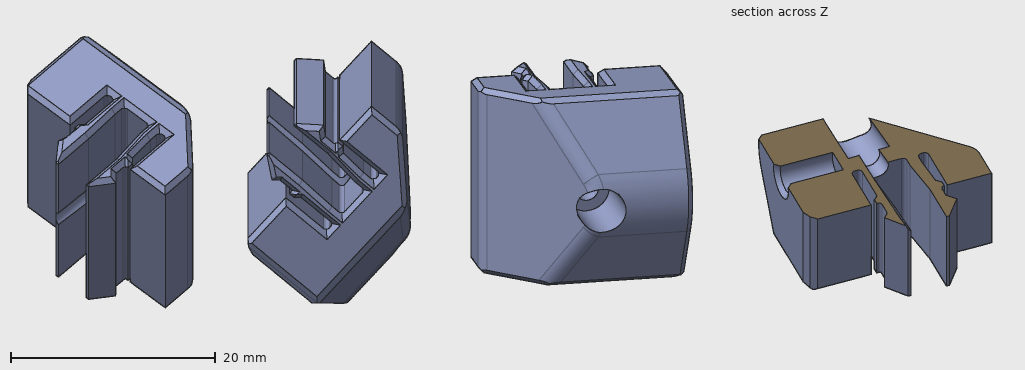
import cadquery as cq
import math


width = 19.3
top_z = 10.0
bottom_z = -9.0
back_y = 13.68
height = top_z - bottom_z
bevel = 0.5

ridge_radius = 6.4
roof_angle = math.radians(60)
ridge_y = back_y - ridge_radius

slant_start_y = 4.0
slant_fillet = 2.0
slant_end_x = width - (back_y - slant_start_y)

facet_mid_x = 0.39
facet_end_x = 0.96
front_facet_start_y = 1.45
front_facet_mid_y = 0.58
bottom_facet_mid_rise = 0.3

slot_width = 1.0
clip_thickness = 1.3
clip_gap = 3.4
slot_depth = 5.29
slot_fillet = 0.4
slots_left_x = 6.6
left_clip_x = slots_left_x + slot_width
gap_left_x = left_clip_x + clip_thickness
gap_right_x = gap_left_x + clip_gap
right_clip_x = gap_right_x + clip_thickness
slots_right_x = right_clip_x + slot_width

bend_y = 4.0
bump_y = 0.64
barb_y = -2.22
tip_y = -4.35
tip_thickness = 0.33
bump_fillet = 0.3
left_inner_x = 9.07
left_neck_x = 7.6
left_bump_x = 7.16
left_bump_start_y = 1.08
left_barb_x = 7.08
left_barb_start_y = -1.62
right_inner_x = 12.78
right_neck_x = 13.95
right_bump_x = 14.32
right_bump_start = (13.82, 1.15)
right_barb_x = 14.75
right_barb_start_y = -1.3

side_hole_diameter = 2.9
side_hole_depth = 5.98
screw_diameter = 2.3
screw_head_diameter = 4.5
screw_x = 9.28
screw_head_floor_y = 7.33
screw_lean_x = 0.04
screw_lean_z = 0.07

clear = 0.2
far = 2 * width


def roof_y(z):
    """Y of the flat roof planes at height z."""
    return ridge_y + (ridge_radius - abs(z) * math.cos(roof_angle)) / math.sin(roof_angle)


def gable(eave_bevel=0):
    """Side profile extruded along the full width, with optional equal-leg bevels at both eaves."""
    leg_y = eave_bevel * math.cos(roof_angle)
    leg_z = eave_bevel * math.sin(roof_angle)
    tangent_y = ridge_y + ridge_radius * math.sin(roof_angle)
    tangent_z = ridge_radius * math.cos(roof_angle)
    profile = cq.Workplane("YZ").moveTo(tip_y, bottom_z)
    profile = profile.lineTo(roof_y(bottom_z) - eave_bevel, bottom_z)
    if eave_bevel:
        profile = profile.lineTo(roof_y(bottom_z) + leg_y, bottom_z + leg_z)
    profile = profile.lineTo(tangent_y, -tangent_z)
    profile = profile.threePointArc((back_y, 0), (tangent_y, tangent_z))
    if eave_bevel:
        profile = profile.lineTo(roof_y(top_z) + leg_y, top_z - leg_z)
    profile = profile.lineTo(roof_y(top_z) - eave_bevel, top_z)
    return profile.lineTo(tip_y, top_z).close().extrude(width)


def upright_prism(outline):
    """Full-height prism over an outline in plan."""
    return cq.Workplane("XY", origin=(0, 0, bottom_z)).polyline(outline).close().extrude(height)


def slanted_gable():
    """Gable cut by the slanted face, whose roof, ridge and right-hand edges are rounded."""
    corner = [(width, slant_start_y), (width, back_y), (slant_end_x, back_y)]
    solid = gable().cut(upright_prism(corner))
    toward_corner = cq.Vector(1, 1, 0).normalized()
    slant = max(solid.faces().vals(), key=lambda face: face.normalAt().dot(toward_corner))
    edges = [edge for edge in slant.Edges() if bottom_z + bevel < edge.Center().z < top_z - bevel]
    return solid.newObject(edges).fillet(slant_fillet)


def left_bevelled_gable():
    """Gable with the back and top edges of its left face bevelled."""
    solid = gable()
    left_edges = solid.faces("<X").edges().vals()
    edges = [edge for edge in left_edges if edge.Center().y > tip_y and edge.Center().z > bottom_z]
    return solid.newObject(edges).chamfer(bevel)


def round_corners(solid, corners, radius):
    """Round the upright edges at the given plan positions."""
    for x, y in corners:
        near = cq.selectors.BoxSelector((x - 0.02, y - 0.02, -far), (x + 0.02, y + 0.02, far))
        solid = solid.edges("|Z").edges(near).fillet(radius)
    return solid


def edge_bevel(before, start, end, after, face_z, inward):
    """Wedge that bevels the edge from start to end of the face at face_z.

    The material lies to the left of the edge and inward is its direction along Z.
    The wedge is mitred where it meets its neighbour in a hollow corner and square elsewhere.
    """
    points = [cq.Vector(x, y, face_z) for x, y in (before, start, end, after)]
    directions = [(b - a).normalized() for a, b in zip(points, points[1:])]
    along = directions[1]
    normal = cq.Vector(-along.y, along.x, 0)

    def mitre_slope(first, second):
        turn = math.atan2(first.cross(second).z, first.dot(second))
        return max(0, math.tan(-turn / 2))

    def section(point, slope):
        into_part = normal + along * slope
        return cq.Wire.makePolygon(
            [
                point + into_part * bevel,
                point - into_part * clear,
                point - into_part * clear + cq.Vector(0, 0, inward * (bevel + clear)),
            ],
            close=True,
        )

    start_section = section(points[1], -mitre_slope(directions[0], along))
    end_section = section(points[2], mitre_slope(along, directions[2]))
    return cq.Solid.makeLoft([start_section, end_section], True)


def bevel_outline(solid, outline, face_z, inward):
    """Bevel every edge of an open outline except its first and last, which only set directions."""
    for i in range(1, len(outline) - 2):
        solid = solid.cut(cq.Workplane(edge_bevel(*outline[i - 1:i + 3], face_z, inward)))
    return solid


left_face = [
    (0, back_y),
    (0, front_facet_start_y),
    (facet_mid_x, front_facet_mid_y),
    (facet_end_x, 0),
]
left_clip_root = [
    (slots_left_x, 0),
    (slots_left_x, slot_depth),
    (left_clip_x, slot_depth),
    (left_clip_x, left_bump_start_y),
    (left_bump_x, bump_y),
]
left_neck = [
    (left_bump_x, 0),
    (left_neck_x, 0),
    (left_neck_x, left_barb_start_y),
]
left_clip_tip = [
    (left_barb_x, barb_y),
    (left_inner_x - tip_thickness, tip_y),
    (left_inner_x, tip_y),
    (left_inner_x, 0),
    (gap_left_x, bend_y),
    (gap_left_x, slot_depth),
]
right_clip = [
    (gap_right_x, slot_depth),
    (gap_right_x, bend_y),
    (right_inner_x, 0),
    (right_inner_x, tip_y),
    (right_inner_x + tip_thickness, tip_y),
    (right_barb_x, barb_y),
    (right_neck_x, right_barb_start_y),
    (right_neck_x, 0),
    (right_bump_x, 0),
    (right_bump_x, bump_y),
    right_bump_start,
    (right_clip_x, bend_y),
    (right_clip_x, slot_depth),
    (slots_right_x, slot_depth),
    (slots_right_x, 0),
]
right_face = [
    (width, 0),
    (width, slant_start_y),
    (slant_end_x, back_y),
]

body = upright_prism(left_face + left_clip_root + left_neck + left_clip_tip + right_clip + right_face)
slot_corners_x = (slots_left_x, left_clip_x, gap_left_x, gap_right_x, right_clip_x, slots_right_x)
body = round_corners(body, [(x, slot_depth) for x in slot_corners_x], slot_fillet)
body = round_corners(body, [(left_neck_x, 0), (right_neck_x, 0)], bump_fillet)

path_start = [(-clear, 0), (0, 0)]
path_end = [(slant_end_x - clear, back_y + clear)]
top_path = path_start + left_clip_root + left_clip_tip + right_clip + right_face + path_end
bottom_path = path_start + left_clip_root + left_neck + left_clip_tip + right_clip + right_face + path_end
body = bevel_outline(body, top_path, top_z, -1)
body = bevel_outline(body, bottom_path, bottom_z, 1)

body = body.intersect(slanted_gable()).intersect(left_bevelled_gable()).intersect(gable(bevel))

bottom_facets = (
    cq.Workplane("XZ")
    .polyline(
        [
            (0, bottom_z + bevel),
            (facet_mid_x, bottom_z + bottom_facet_mid_rise),
            (facet_end_x, bottom_z),
            (0, bottom_z),
        ]
    )
    .close()
    .extrude(far, both=True)
)
body = body.cut(bottom_facets)

side_radius = side_hole_diameter / 2
side_hole = cq.Workplane("YZ").center(ridge_y, 0).circle(side_radius).extrude(side_hole_depth)
countersink = cq.Solid.makeCone(
    side_radius + bevel, side_radius, bevel, pnt=cq.Vector(0, ridge_y, 0), dir=cq.Vector(1, 0, 0)
)
body = body.cut(side_hole).cut(cq.Workplane(countersink))

screw_direction = cq.Vector(-screw_lean_x, 1, -screw_lean_z).normalized()
head_floor = cq.Vector(screw_x, screw_head_floor_y, 0)
screw_start = head_floor - screw_direction * far
screw_hole = cq.Solid.makeCylinder(screw_diameter / 2, 2 * far, screw_start, screw_direction)
head_recess = cq.Solid.makeCylinder(screw_head_diameter / 2, far, head_floor, screw_direction)
result = body.cut(cq.Workplane(screw_hole)).cut(cq.Workplane(head_recess))